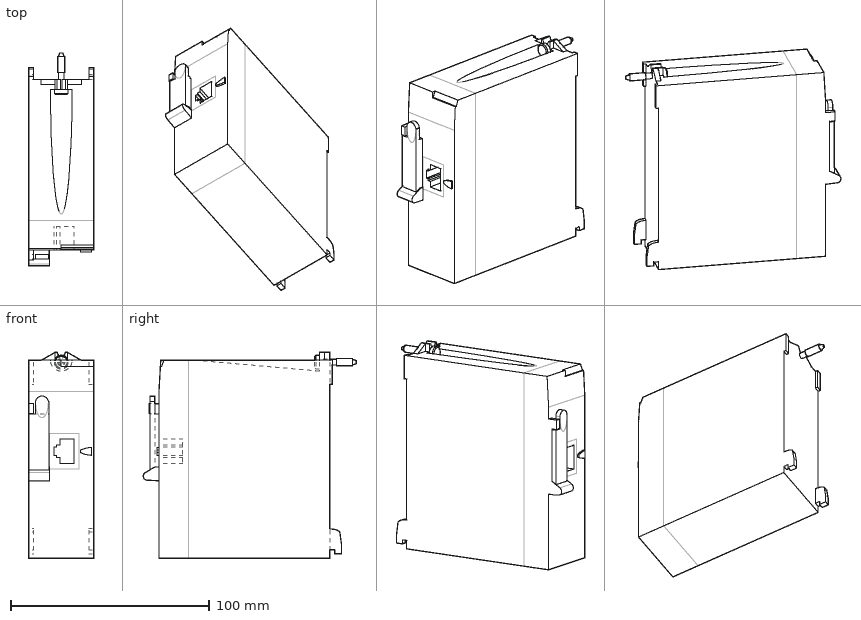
import cadquery as cq
import math


WIDTH = 33.0
HALF_WIDTH = WIDTH / 2
LEFT = -HALF_WIDTH
HEIGHT = 100.0
FRONT_Y = -86.2
SEAM_Y = -71.2
SLOPE_START_Z = 84.2
SLOPE_SETBACK = 0.9

RECESS_DEPTH = 3.1
RECESS_TOP_Y = -83.6
RECESS_FLOOR_Y = -84.8

CHEEK_WIDTH = 2.6
TAB_DEPTH = 1.3
TAB_HEIGHT = 12.2
HOOK_REACH = 6.0
HOOK_TIP_Z = 2.25
HOOK_NOTCH_Y = 2.4
HOOK_NOTCH_Z = 4.35
HOOK_LEAN_Z = 7.0
HOOK_SHOULDER = (5.1, 13.4)
HOOK_CROWN = (3.5, 14.4)
HOOK_CROWN_START = (1.6, 14.8)
HOOK_ROOT_Z = 15.0

SCREW_Z = 99.0
SCREW_TIP_Y = 13.4
THREAD_END_Y = 11.5
THREAD_START_Y = 3.4
HEAD_BACK_Y = -5.2
HEAD_FRONT_Y = -7.6
THREAD_RADIUS = 1.85
NECK_RADIUS = 1.5
TIP_BASE_RADIUS = 1.5
TIP_END_RADIUS = 0.8
HEAD_RADIUS = 3.5
HEAD_CHAMFER = 0.55

GROOVE_RADIUS = 5.5
GROOVE_LENGTH = 62.7

GUIDE_TOP_Z = 104.0
BLADE_THICKNESS = 2.65
BLADE_FOOT_X = 10.1
POST_OUTER_X = 3.05
POST_INNER_X = 2.1
GUIDE_GAP_X = 0.4
GUIDE_GAP_Z = 100.4
GUIDE_ROOT = 1.0

LATCH_BACK_Y = -88.25
STRIP_FRONT_Y = -90.7
STRIP_INSET = 0.2
STRIP_WIDTH = 10.2
STRIP_LEFT_TOP_Z = 72.8
CATCH_WIDTH = 2.5
CATCH_FRONT_Y = -91.1
CATCH_BOTTOM_Z = 73.2
CATCH_TOP_Z = 78.1
NUB_LEFT_X = 3.55
NUB_RIGHT_X = 10.0
NUB_SIDE_Z = 79.2
NUB_TOP_Z = 81.9
NUB_POINT_Z = 71.0
HANDLE_WIDTH = 10.65
HANDLE_TIP_Y = -94.1
HANDLE_ROOT_Z = 39.1
HANDLE_BOTTOM_Z = 39.4
HANDLE_RADIUS = 2.1
HANDLE_SLOPE = math.radians(30)

SOCKET_LEFT = 10.65
SOCKET_RIGHT = 25.35
SOCKET_BOTTOM_Z = 45.2
SOCKET_TOP_Z = 62.9
SOCKET_DEPTH = 15.0
JACK_DEPTH = 12.0
JACK_CENTRE_Z = 54.0
JACK_RIGHT = 23.0
JACK_STEPS = ((15.8, 6.15), (14.2, 3.1), (12.95, 2.15))

LENS_LEFT = 26.2
LENS_RIGHT = 31.8
LENS_CENTRE_Z = 54.0
LENS_LEFT_HALF = 0.6
LENS_RIGHT_HALF = 2.0
LENS_BULGE = (28.6, 1.5)
LENS_HEIGHT = 0.9


def side_prism(points, left, right):
    """Extrude a closed (Y, Z) outline from x = left to x = right."""
    return cq.Workplane("YZ", origin=(left, 0, 0)).polyline(points).close().extrude(right - left)


def box(left, right, back, front, bottom, top):
    size = (right - left, back - front, top - bottom)
    return cq.Workplane("XY").box(*size, centered=False).translate((left, front, bottom))


def front_sketch(back):
    """Plane of (X, Z) outlines, extruding forwards from y = back."""
    return cq.Workplane("XZ", origin=(0, back, 0))


def both_sides(shape):
    return shape.union(shape.mirror("YZ"))


def rear_cheeks():
    left_tab = box(LEFT, LEFT + CHEEK_WIDTH, TAB_DEPTH, SEAM_Y, HEIGHT - TAB_HEIGHT, HEIGHT)
    left_hook = (
        cq.Workplane("YZ", origin=(LEFT, 0, 0))
        .moveTo(SEAM_Y, HOOK_ROOT_Z)
        .lineTo(0, HOOK_ROOT_Z)
        .lineTo(*HOOK_CROWN_START)
        .threePointArc(HOOK_CROWN, HOOK_SHOULDER)
        .lineTo(HOOK_REACH, HOOK_LEAN_Z)
        .lineTo(HOOK_REACH, HOOK_TIP_Z)
        .lineTo(HOOK_NOTCH_Y, HOOK_TIP_Z)
        .lineTo(HOOK_NOTCH_Y, HOOK_NOTCH_Z)
        .lineTo(SEAM_Y, HOOK_NOTCH_Z)
        .close()
        .extrude(CHEEK_WIDTH)
    )
    return both_sides(left_tab.union(left_hook))


def screwdriver_groove():
    tilt = math.asin(GROOVE_RADIUS / GROOVE_LENGTH)
    axis = cq.Vector(0, -math.cos(tilt), math.sin(tilt))
    start = cq.Vector(0, HEAD_BACK_Y, HEIGHT) - axis * GROOVE_RADIUS
    cylinder = cq.Solid.makeCylinder(GROOVE_RADIUS, 2 * GROOVE_LENGTH, start, axis)
    ahead_of_wall = box(LEFT, HALF_WIDTH, HEAD_BACK_Y, SEAM_Y, 0, 2 * HEIGHT)
    return ahead_of_wall.intersect(cq.Workplane(cylinder))


def screw_guide():
    root_z = HEIGHT - GUIDE_ROOT
    inner_edge = [
        (POST_INNER_X, GUIDE_TOP_Z),
        (GUIDE_GAP_X, GUIDE_GAP_Z),
        (GUIDE_GAP_X, root_z),
    ]
    blade_outline = [
        (BLADE_FOOT_X, root_z),
        (BLADE_FOOT_X, HEIGHT),
        (POST_OUTER_X, GUIDE_TOP_Z),
    ] + inner_edge
    post_outline = [(POST_OUTER_X, root_z), (POST_OUTER_X, GUIDE_TOP_Z)] + inner_edge
    blade = front_sketch(0).polyline(blade_outline).close().extrude(BLADE_THICKNESS)
    post = front_sketch(0).polyline(post_outline).close().extrude(-HEAD_BACK_Y)
    return both_sides(blade.union(post))


def screw():
    half_section = [
        (0, SCREW_TIP_Y),
        (TIP_END_RADIUS, SCREW_TIP_Y),
        (TIP_BASE_RADIUS, THREAD_END_Y),
        (THREAD_RADIUS, THREAD_END_Y),
        (THREAD_RADIUS, THREAD_START_Y),
        (NECK_RADIUS, THREAD_START_Y),
        (NECK_RADIUS, HEAD_BACK_Y),
        (HEAD_RADIUS, HEAD_BACK_Y),
        (HEAD_RADIUS, HEAD_FRONT_Y + HEAD_CHAMFER),
        (HEAD_RADIUS - HEAD_CHAMFER, HEAD_FRONT_Y),
        (0, HEAD_FRONT_Y),
    ]
    turned = cq.Workplane("XY").polyline(half_section).close().revolve(360, (0, 0), (0, 1))
    return turned.translate((0, 0, SCREW_Z))


def rear_housing():
    block = box(LEFT, HALF_WIDTH, 0, SEAM_Y, 0, HEIGHT)
    shell = block.union(rear_cheeks()).cut(screwdriver_groove())
    return shell.union(screw_guide()).union(screw())


def front_cover():
    outline = [
        (SEAM_Y, 0),
        (FRONT_Y, 0),
        (FRONT_Y, SLOPE_START_Z),
        (FRONT_Y + SLOPE_SETBACK, HEIGHT),
        (SEAM_Y, HEIGHT),
    ]
    recess_outline = [
        (RECESS_TOP_Y, HEIGHT),
        (RECESS_FLOOR_Y, HEIGHT - RECESS_DEPTH),
        (FRONT_Y, HEIGHT - RECESS_DEPTH),
        (FRONT_Y, HEIGHT),
    ]
    cover = side_prism(outline, LEFT, HALF_WIDTH)
    return cover.cut(side_prism(recess_outline, 0, HALF_WIDTH))


def handle():
    """Finger grip: a sloped top running tangentially into a round nose."""
    nose_y = HANDLE_TIP_Y + HANDLE_RADIUS
    nose_z = HANDLE_BOTTOM_Z + HANDLE_RADIUS
    tangent_y = nose_y - HANDLE_RADIUS * math.sin(HANDLE_SLOPE)
    tangent_z = nose_z + HANDLE_RADIUS * math.cos(HANDLE_SLOPE)
    slope_top_z = tangent_z + (LATCH_BACK_Y - tangent_y) * math.tan(HANDLE_SLOPE)
    return (
        cq.Workplane("YZ", origin=(LEFT, 0, 0))
        .moveTo(FRONT_Y, HANDLE_ROOT_Z)
        .lineTo(nose_y, HANDLE_BOTTOM_Z)
        .threePointArc((HANDLE_TIP_Y, nose_z), (tangent_y, tangent_z))
        .lineTo(LATCH_BACK_Y, slope_top_z)
        .lineTo(FRONT_Y, slope_top_z)
        .close()
        .extrude(HANDLE_WIDTH)
    )


def nub_pad():
    """Teardrop finger pad at the top of the latch strip, flush with its front."""
    left_x = LEFT + NUB_LEFT_X
    right_x = LEFT + NUB_RIGHT_X
    middle_x = (left_x + right_x) / 2
    return (
        front_sketch(LATCH_BACK_Y)
        .moveTo(left_x, NUB_SIDE_Z)
        .threePointArc((middle_x, NUB_TOP_Z), (right_x, NUB_SIDE_Z))
        .spline([(middle_x, NUB_POINT_Z), (left_x, NUB_SIDE_Z)],
                tangents=[(0, -1), (-1, 0), (0, 1)], includeCurrent=True)
        .close()
        .extrude(LATCH_BACK_Y - STRIP_FRONT_Y)
    )


def latch():
    nub_left = LEFT + NUB_LEFT_X
    strip_right = LEFT + STRIP_WIDTH
    mount = box(LEFT, strip_right, FRONT_Y, LATCH_BACK_Y, HANDLE_BOTTOM_Z, STRIP_LEFT_TOP_Z)
    strip = box(LEFT + STRIP_INSET, strip_right, LATCH_BACK_Y, STRIP_FRONT_Y,
                HANDLE_BOTTOM_Z, STRIP_LEFT_TOP_Z)
    strip_top = box(nub_left, strip_right, LATCH_BACK_Y, STRIP_FRONT_Y, HANDLE_BOTTOM_Z, NUB_SIDE_Z)
    catch = box(LEFT, LEFT + CATCH_WIDTH, FRONT_Y, CATCH_FRONT_Y, CATCH_BOTTOM_Z, CATCH_TOP_Z)
    catch_root = box(LEFT, LEFT + CATCH_WIDTH, FRONT_Y, LATCH_BACK_Y, STRIP_LEFT_TOP_Z, CATCH_TOP_Z)
    frame = mount.union(strip).union(strip_top)
    return frame.union(catch).union(catch_root).union(handle())


def socket_block():
    return box(LEFT + SOCKET_LEFT, LEFT + SOCKET_RIGHT, FRONT_Y + SOCKET_DEPTH, FRONT_Y,
               SOCKET_BOTTOM_Z, SOCKET_TOP_Z)


def jack_opening():
    opening = cq.Workplane("XY")
    for left, half_height in JACK_STEPS:
        step = box(LEFT + left, LEFT + JACK_RIGHT, FRONT_Y + JACK_DEPTH, FRONT_Y,
                   JACK_CENTRE_Z - half_height, JACK_CENTRE_Z + half_height)
        opening = opening.add(step)
    return opening.combine()


def indicator_lens():
    left_x = LEFT + LENS_LEFT
    right_x = LEFT + LENS_RIGHT
    bulge_x = LEFT + LENS_BULGE[0]
    bulge_half = LENS_BULGE[1]
    return (
        front_sketch(FRONT_Y)
        .moveTo(left_x, LENS_CENTRE_Z - LENS_LEFT_HALF)
        .threePointArc((bulge_x, LENS_CENTRE_Z - bulge_half), (right_x, LENS_CENTRE_Z - LENS_RIGHT_HALF))
        .lineTo(right_x, LENS_CENTRE_Z + LENS_RIGHT_HALF)
        .threePointArc((bulge_x, LENS_CENTRE_Z + bulge_half), (left_x, LENS_CENTRE_Z + LENS_LEFT_HALF))
        .close()
        .extrude(LENS_HEIGHT)
    )


socket = socket_block()
pad = nub_pad()
cover = front_cover().union(indicator_lens()).union(latch().cut(pad)).cut(socket)
cover = cover.union(pad, clean=False).union(socket.cut(jack_opening()), clean=False)
result = rear_housing().union(cover, clean=False)